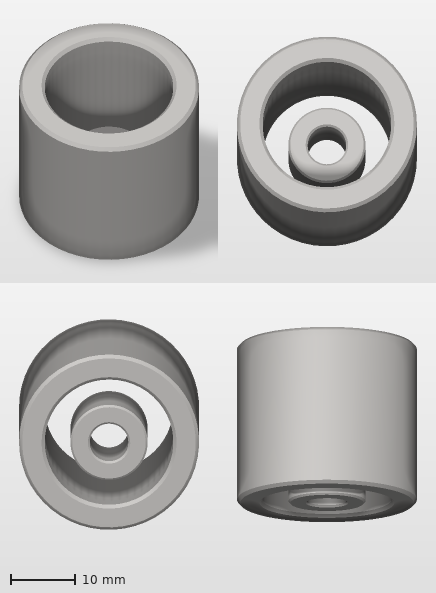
import cadquery as cq

SLEEVE_OUTER_DIAMETER = 28.0
SLEEVE_BORE_DIAMETER = 20.0
SLEEVE_HEIGHT = 25.0
SLEEVE_CHAMFER = 0.5

BUSHING_OUTER_DIAMETER = 12.0
BUSHING_BORE_DIAMETER = 6.0
BUSHING_HEIGHT = 10.0
BUSHING_CHAMFER = 0.3


def chamfered_tube(outer_diameter, bore_diameter, height, chamfer):
    """Upright tube on the XY plane with both rims chamfered at both ends."""
    tube = (
        cq.Workplane("XY")
        .circle(outer_diameter / 2)
        .circle(bore_diameter / 2)
        .extrude(height)
    )
    return tube.faces("<Z or >Z").edges().chamfer(chamfer)


def make_sleeve():
    return chamfered_tube(SLEEVE_OUTER_DIAMETER, SLEEVE_BORE_DIAMETER, SLEEVE_HEIGHT, SLEEVE_CHAMFER)


def make_bushing():
    return chamfered_tube(BUSHING_OUTER_DIAMETER, BUSHING_BORE_DIAMETER, BUSHING_HEIGHT, BUSHING_CHAMFER)


sleeve = make_sleeve()
bushing = make_bushing()

result = cq.Compound.makeCompound([sleeve.val(), bushing.val()])